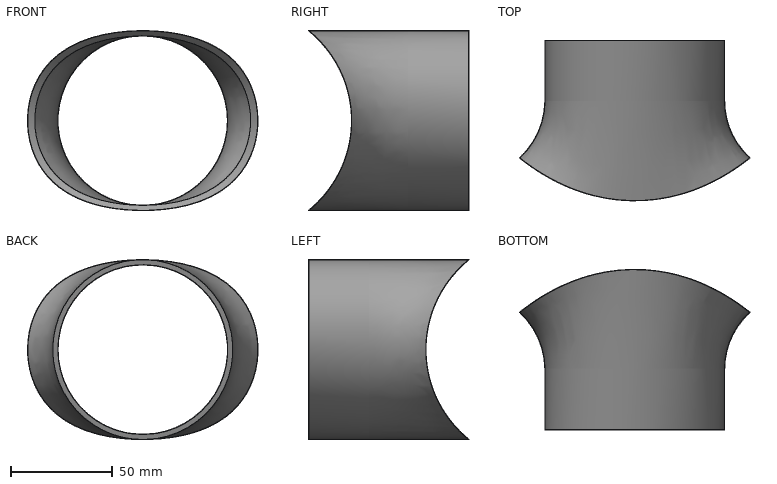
import cadquery as cq
import math

branch_diameter = 89.0
bore_diameter = 83.7
run_diameter = 114.3
length = 79.3
straight_length = 30.1
outer_span = 113.9
inner_span = 106.6

ring_points = 48
ring_steps = 8
sew_tolerance = 0.0001
join_tolerance = 0.001
flat_angle = 0.000001

run_radius = run_diameter / 2
branch_radius = branch_diameter / 2
bore_radius = bore_diameter / 2

rim_end_y = math.sqrt(run_radius**2 - branch_radius**2)
back_y = rim_end_y + length
flare_y = back_y - straight_length


def rim_point(tube_radius, span, turn):
    """Point of a rim that is an ellipse wrapped around the run pipe."""
    widest_wrap = math.asin(tube_radius / run_radius)
    wrap_angle = widest_wrap * math.sin(turn)
    return cq.Vector(
        span / 2 * math.cos(turn),
        run_radius * math.cos(wrap_angle),
        run_radius * math.sin(wrap_angle),
    )


def flare_point(tube_radius, span, turn, fraction):
    """Point on the arc that leaves the tube along Y and ends on the rim."""
    rim = rim_point(tube_radius, span, turn)
    direction = math.atan2(rim.z, rim.x)
    rise = math.hypot(rim.x, rim.z) - tube_radius
    drop = flare_y - rim.y

    half_sweep = math.atan2(rise, drop)
    lean = half_sweep * fraction
    if abs(half_sweep) > flat_angle:
        chord_share = math.sin(lean) / math.sin(half_sweep)
    else:
        chord_share = fraction
    chord = math.hypot(rise, drop) * chord_share

    radius = tube_radius + chord * math.sin(lean)
    return cq.Vector(
        radius * math.cos(direction),
        flare_y - chord * math.cos(lean),
        radius * math.sin(direction),
    )


def flare_ring(tube_radius, span, fraction):
    """Closed curve around the flare at one fraction of its arcs."""
    turns = [2 * math.pi * i / ring_points for i in range(ring_points)]
    points = [flare_point(tube_radius, span, turn, fraction) for turn in turns]
    return cq.Wire.assembleEdges([cq.Edge.makeSpline(points, periodic=True)])


def flare_rings(tube_radius, span):
    """Rings from the end of the straight tube to the rim."""
    return [flare_ring(tube_radius, span, i / ring_steps) for i in range(ring_steps + 1)]


def make_flare():
    """Flared wall, closed by a flat end at the tube and a rim on the run pipe."""
    outer_rings = flare_rings(branch_radius, outer_span)
    inner_rings = flare_rings(bore_radius, inner_span)
    skins = [
        cq.occ_impl.shapes.loft(*outer_rings),
        cq.occ_impl.shapes.loft(*inner_rings),
        cq.Face.makeFromWires(outer_rings[0], [inner_rings[0]]),
        cq.Face.makeRuledSurface(outer_rings[-1], inner_rings[-1]),
    ]
    faces = [face for skin in skins for face in skin.Faces()]
    wall = cq.occ_impl.shapes.shell(*faces, tol=sew_tolerance)
    return cq.Workplane(cq.occ_impl.shapes.solid(wall))


def make_tube():
    """Straight tube from the back end to the start of the flare."""
    return (
        cq.Workplane("XZ", origin=(0, back_y, 0))
        .circle(branch_radius)
        .circle(bore_radius)
        .extrude(straight_length)
    )


joined = make_tube().union(make_flare(), tol=join_tolerance)
result = joined.solids()